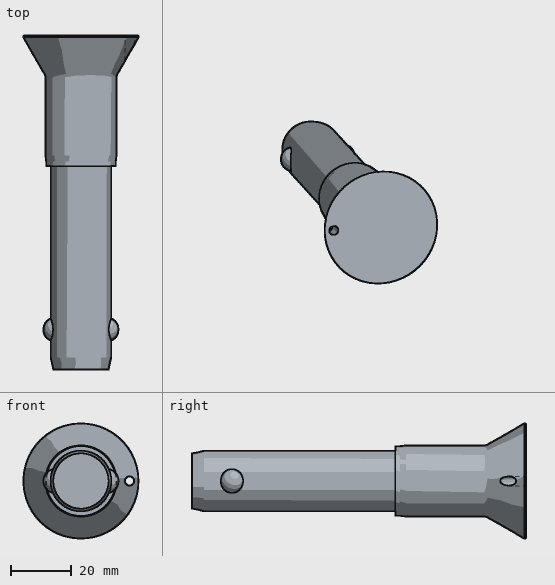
import cadquery as cq
import math


shank_radius = 10.0
shank_length = 67.0
tip_radius = 9.1
tip_length = 4.0

collar_radius = 11.5
collar_length = 1.5
handle_radius = 11.75
taper_length = 2.0
handle_length = 43.1

flange_radius = 19.0
rim_thickness = 0.7
rim_rounding = 0.5
flare_angle = 30.0
flare_fillet_radius = 2.0

ball_radius = 4.0
ball_reach = 12.4
ball_to_tip = 13.2

lanyard_hole_diameter = 3.0
lanyard_hole_offset = 16.0


def turned_body():
    """Revolve the half outline (radius along X, length along Y) about the Y axis."""
    tip_y = -shank_length
    rim_y = handle_length - rim_thickness
    angle = math.radians(flare_angle)
    foot_radius = handle_radius + flare_fillet_radius * (1 - math.cos(angle))
    foot_y = rim_y - (flange_radius - foot_radius) / math.tan(angle)
    fillet_start_y = foot_y - flare_fillet_radius * math.sin(angle)
    rounding_middle = rim_rounding * (1 - math.sqrt(0.5))
    mid_rounding = (flange_radius - rounding_middle, handle_length - rounding_middle)
    outline = (
        cq.Workplane("XY")
        .moveTo(0, tip_y)
        .lineTo(tip_radius, tip_y)
        .lineTo(shank_radius, tip_y + tip_length)
        .lineTo(shank_radius, 0)
        .lineTo(collar_radius, 0)
        .lineTo(collar_radius, collar_length)
        .lineTo(handle_radius, collar_length + taper_length)
        .lineTo(handle_radius, fillet_start_y)
        .tangentArcPoint((foot_radius, foot_y), relative=False)
        .lineTo(flange_radius, rim_y)
        .lineTo(flange_radius, handle_length - rim_rounding)
        .threePointArc(mid_rounding, (flange_radius - rim_rounding, handle_length))
        .lineTo(0, handle_length)
        .close()
    )
    return outline.revolve(360, (0, 0, 0), (0, 1, 0))


def locking_ball(side):
    """One ball standing out of the shank; side is +1 or -1 along X."""
    center_x = side * (ball_reach - ball_radius)
    center_y = ball_to_tip - shank_length
    return cq.Workplane("XY").sphere(ball_radius).translate((center_x, center_y, 0))


def lanyard_hole():
    """Round cutter parallel to Y, passing through the flange only."""
    return (
        cq.Workplane("XZ", origin=(lanyard_hole_offset, handle_length, 0))
        .circle(lanyard_hole_diameter / 2)
        .extrude(handle_length)
    )


result = turned_body()
for side in (1, -1):
    result = result.union(locking_ball(side))
result = result.cut(lanyard_hole())